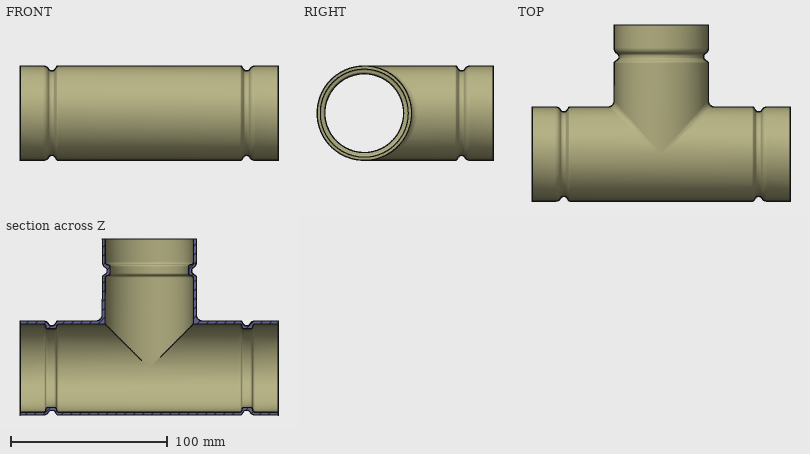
import cadquery as cq
import math

run_length = 165.1
branch_reach = 82.5
outer_diameter = 60.5
bore_diameter = 56.3
junction_fillet = 3.6

groove_start = 14.9
groove_floor_diameter = 54.3
groove_floor_width = 1.0
mouth_edge_bend = 3.5
mouth_floor_bend = 1.7
far_bend = 1.0
far_flank_angle = 54.0

bead_bore_diameter = 50.2
bead_crest_width = 4.0

outer_radius = outer_diameter / 2
bore_radius = bore_diameter / 2
groove_floor_radius = groove_floor_diameter / 2
bead_bore_radius = bead_bore_diameter / 2
bead_bend = (bore_radius - bead_bore_radius) / 2

ring_margin = 1.7


def bend_arc(tangent_point, width, angle, x_sign, r_sign):
    """Middle and end of an arc that starts parallel to X and turns by the angle."""
    x, r = tangent_point
    bend_radius = width / math.sin(angle)

    def point_at(turn):
        along = bend_radius * math.sin(turn)
        across = bend_radius * (1 - math.cos(turn))
        return x + x_sign * along, r + r_sign * across

    return point_at(angle / 2), point_at(angle)


def pressed_ring(surface_radius, floor_radius, floor_width, mouth_bends, far_bends, far_flank=None):
    """Ring around X that fills a rounded groove, with the tube mouth at X = 0.

    Each pair of bends holds the widths at the surface and at the floor.
    On the mouth side the two arcs meet directly; on the far side they do so
    too unless the angle of a straight flank between them is given.
    """
    depth = surface_radius - floor_radius
    mouth_width = sum(mouth_bends)
    mouth_angle = 2 * math.atan(depth / mouth_width)
    far_width = sum(far_bends)
    if far_flank:
        far_angle = math.radians(far_flank)
        far_width += (depth - far_width * math.tan(far_angle / 2)) / math.tan(far_angle)
    else:
        far_angle = 2 * math.atan(depth / far_width)

    floor_start = groove_start + mouth_width
    floor_end = floor_start + floor_width
    far_end = floor_end + far_width
    top_radius = surface_radius + ring_margin

    mouth_edge = (groove_start, surface_radius)
    floor_near = (floor_start, floor_radius)
    floor_far = (floor_end, floor_radius)
    far_edge = (far_end, surface_radius)

    mouth_edge_middle, mouth_turn = bend_arc(mouth_edge, mouth_bends[0], mouth_angle, 1, -1)
    mouth_floor_middle, _ = bend_arc(floor_near, mouth_bends[1], mouth_angle, -1, 1)
    far_floor_middle, flank_bottom = bend_arc(floor_far, far_bends[1], far_angle, 1, 1)
    far_edge_middle, flank_top = bend_arc(far_edge, far_bends[0], far_angle, -1, -1)

    profile = (
        cq.Workplane("XY")
        .moveTo(groove_start, top_radius)
        .lineTo(*mouth_edge)
        .threePointArc(mouth_edge_middle, mouth_turn)
        .threePointArc(mouth_floor_middle, floor_near)
        .lineTo(*floor_far)
        .threePointArc(far_floor_middle, flank_bottom)
    )
    if far_flank:
        profile = profile.lineTo(*flank_top)
    profile = profile.threePointArc(far_edge_middle, far_edge).lineTo(far_end, top_radius).close()
    return profile.revolve(360, (0, 0, 0), (1, 0, 0))


def cut_at_every_mouth(solid, ring):
    """Cut a ring from the solid at the two run mouths and the branch mouth."""
    left = ring.translate((-run_length / 2, 0, 0))
    right = left.mirror("YZ")
    branch = ring.translate((-branch_reach, 0, 0)).rotate((0, 0, 0), (0, 0, 1), -90)
    return solid.cut(left).cut(right).cut(branch)


def tee_solid(radius):
    """Solid cylinders of one radius along the run and the branch, joined."""
    run = cq.Workplane("YZ").circle(radius).extrude(run_length / 2, both=True)
    branch = cq.Workplane("XZ").circle(radius).extrude(-branch_reach)
    return run.union(branch)


groove = pressed_ring(
    outer_radius,
    groove_floor_radius,
    groove_floor_width,
    (mouth_edge_bend, mouth_floor_bend),
    (far_bend, far_bend),
    far_flank_angle,
)
body = tee_solid(outer_radius).edges("%ELLIPSE").fillet(junction_fillet)
body = cut_at_every_mouth(body, groove)

bead_bends = (bead_bend, bead_bend)
bead = pressed_ring(bore_radius, bead_bore_radius, bead_crest_width, bead_bends, bead_bends)
passage = cut_at_every_mouth(tee_solid(bore_radius), bead)

result = body.cut(passage)